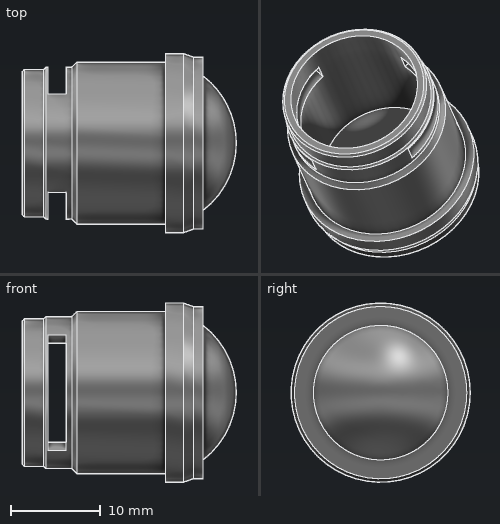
import cadquery as cq
import math

rim_chamfer = 0.26
shoulder_start = 2.41
slot_start = 2.9
slot_end = 4.9
cone_start = 5.55
flange_start = 16.0
flange_taper_start = 18.0
flange_taper_end = 19.12
flange_end = 20.2
dome_tip = 23.9

bore_radius = 7.25
rim_radius = 8.25
neck_radius = 8.48
body_radius = 9.05
flange_radius = 20.0 / 2
flange_lip_radius = 9.6
dome_base_radius = 7.5

shoulder_end = shoulder_start + neck_radius - rim_radius
cone_end = cone_start + body_radius - neck_radius

bore_depth = flange_start

slot_angle = 99.0


def make_body():
    """Revolve the stepped sleeve, flange and spherical dome about X."""
    dome_height = dome_tip - flange_end
    sphere_radius = (dome_base_radius**2 + dome_height**2) / (2 * dome_height)
    half_sweep = math.asin(dome_base_radius / sphere_radius) / 2
    dome_middle = (
        dome_tip - sphere_radius * (1 - math.cos(half_sweep)),
        sphere_radius * math.sin(half_sweep),
    )
    return (
        cq.Workplane("XY")
        .moveTo(0, 0)
        .lineTo(0, rim_radius - rim_chamfer)
        .lineTo(rim_chamfer, rim_radius)
        .lineTo(shoulder_start, rim_radius)
        .lineTo(shoulder_end, neck_radius)
        .lineTo(cone_start, neck_radius)
        .lineTo(cone_end, body_radius)
        .lineTo(flange_start, body_radius)
        .lineTo(flange_start, flange_radius)
        .lineTo(flange_taper_start, flange_radius)
        .lineTo(flange_taper_end, flange_lip_radius)
        .lineTo(flange_end, flange_lip_radius)
        .lineTo(flange_end, dome_base_radius)
        .threePointArc(dome_middle, (dome_tip, 0))
        .close()
        .revolve(360, (0, 0, 0), (1, 0, 0))
    )


def make_bore():
    return cq.Workplane("YZ").circle(bore_radius).extrude(bore_depth)


def make_slot(side):
    """Wedge with radial end walls, opening toward side * Y."""
    reach = side * flange_radius
    half_height = flange_radius * math.tan(math.radians(slot_angle / 2))
    return (
        cq.Workplane("YZ", origin=(slot_start, 0, 0))
        .polyline([(0, 0), (reach, -half_height), (reach, half_height)])
        .close()
        .extrude(slot_end - slot_start)
    )


result = make_body().cut(make_bore())
for side in (-1, 1):
    result = result.cut(make_slot(side))